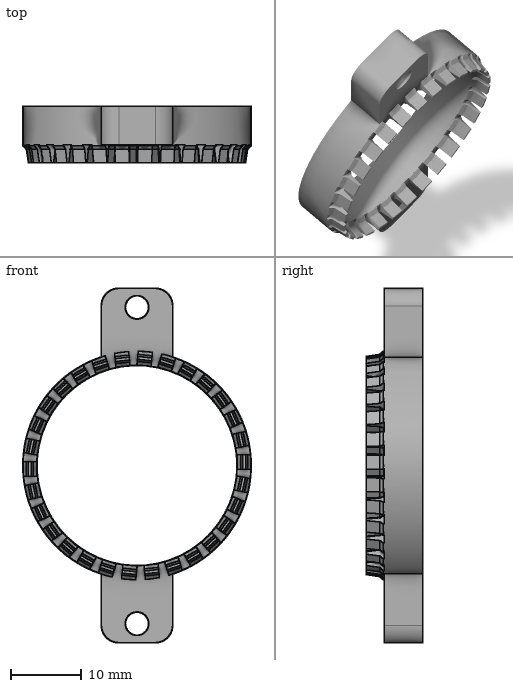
import cadquery as cq

outer_radius = 16.25
inner_radius = 14.25
ring_depth = 5.5

overall_height = 50.5
tab_width = 10.2
tab_corner_radius = 2.5
hole_diameter = 3.3
hole_spacing = 45.05

overall_depth = 8.1
tooth_count = 30
tooth_width = 2
tooth_offset = 0.5
foot_land = 0.1
foot_flare = 0.5
tip_width = 0.4

full_turn = 360
front_y = -ring_depth
land_y = front_y - foot_land
shoulder_y = land_y - foot_flare
tip_y = -overall_depth


def make_body():
    """Ring and tabs as one plate with a round bore."""
    front_plane = cq.Workplane("XZ")
    tabs = front_plane.rect(tab_width, overall_height).extrude(ring_depth)
    tabs = tabs.edges("|Y").fillet(tab_corner_radius)
    ring = front_plane.circle(outer_radius).extrude(ring_depth)
    bore = front_plane.circle(inner_radius).extrude(ring_depth)
    holes = (
        front_plane.rarray(0.5, hole_spacing, 1, 2)
        .circle(hole_diameter / 2)
        .extrude(ring_depth)
    )
    return ring.union(tabs).cut(bore).cut(holes)


def make_tooth():
    """Tooth on the +X side: short flared foot, then a taper to a narrow flat tip.

    The corners of the flat foot are trimmed flush with the ring's outer surface.
    """
    middle_radius = (outer_radius + inner_radius) / 2
    profile = [
        (inner_radius, front_y),
        (inner_radius, land_y),
        (inner_radius + foot_flare, shoulder_y),
        (middle_radius - tip_width / 2, tip_y),
        (middle_radius + tip_width / 2, tip_y),
        (outer_radius - foot_flare, shoulder_y),
        (outer_radius, land_y),
        (outer_radius, front_y),
    ]
    blank = (
        cq.Workplane("XY", origin=(0, 0, tooth_offset - tooth_width / 2))
        .polyline(profile)
        .close()
        .extrude(tooth_width)
    )
    envelope = cq.Workplane("XZ").circle(outer_radius).extrude(overall_depth)
    return blank.intersect(envelope)


result = make_body()
tooth = make_tooth()
for index in range(tooth_count):
    angle = index * full_turn / tooth_count
    result = result.union(tooth.rotate((0, 0, 0), (0, 1, 0), angle))